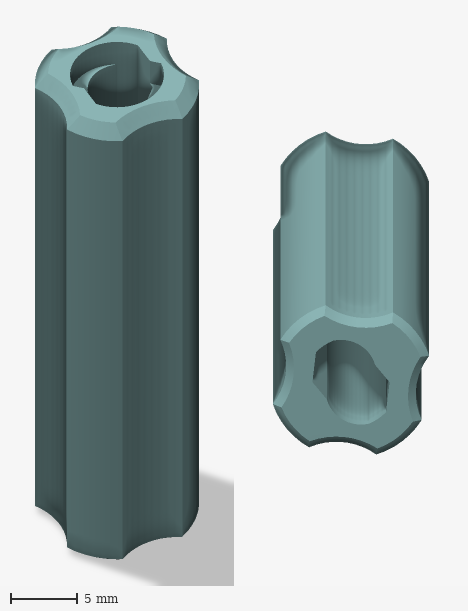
import cadquery as cq
import math

length = 45.6
outer_diameter = 12.45
lobe_count = 4

flute_radius = 5.0
flute_center_distance = 10.0
first_flute_angle = 45.0

top_chamfer = 1.0
bottom_chamfer = 0.6

socket_diameter = 7.1
socket_depth = 2.35
key_flat_x = 2.3
stop_y = 2.15
corner_flat_sum = 4.1
relief_radius = 2.7
relief_center = (-0.2, -1.0)


def fluted_body():
    """Round bar with concave flutes and a chamfer around each end."""
    body = cq.Workplane("XY").circle(outer_diameter / 2).extrude(length)
    flutes = (
        cq.Workplane("XY")
        .polarArray(flute_center_distance, first_flute_angle, 360, lobe_count)
        .circle(flute_radius)
        .extrude(length)
    )
    body = body.cut(flutes)
    body = body.faces(">Z").edges().chamfer(top_chamfer)
    return body.faces("<Z").edges().chamfer(bottom_chamfer)


def half_turn_pair(solid):
    """The given solid joined with its copy turned 180 degrees about Z."""
    return solid.union(solid.rotate((0, 0, 0), (0, 0, 1), 180))


def corner_flat_blocks(height):
    """Material beyond the 45 degree corner flats."""
    reach = outer_diameter / 2
    block = (
        cq.Workplane("XY")
        .polyline([
            (corner_flat_sum - reach, reach),
            (corner_flat_sum - stop_y, stop_y),
            (reach, stop_y),
            (reach, reach),
        ])
        .close()
        .extrude(height)
    )
    return half_turn_pair(block)


def socket():
    """Round socket limited by the corner flats and their stop faces."""
    disc = cq.Workplane("XY").circle(socket_diameter / 2).extrude(socket_depth)
    opening = disc.cut(corner_flat_blocks(socket_depth))
    return opening.translate((0, 0, length - socket_depth))


def passage():
    """Keyed opening running through the whole length."""
    center_x, center_y = relief_center
    start_y = center_y - math.sqrt(relief_radius**2 - center_x**2)
    end_y = center_y + math.sqrt(relief_radius**2 - (key_flat_x - center_x)**2)
    half = (
        cq.Workplane("XY")
        .moveTo(0, start_y)
        .threePointArc((center_x + relief_radius, center_y), (key_flat_x, end_y))
        .lineTo(key_flat_x, corner_flat_sum - key_flat_x)
        .lineTo(0, corner_flat_sum)
        .close()
        .extrude(length)
    )
    bore = cq.Workplane("XY").circle(socket_diameter / 2).extrude(length)
    return half_turn_pair(half).intersect(bore)


result = fluted_body().cut(socket()).cut(passage())